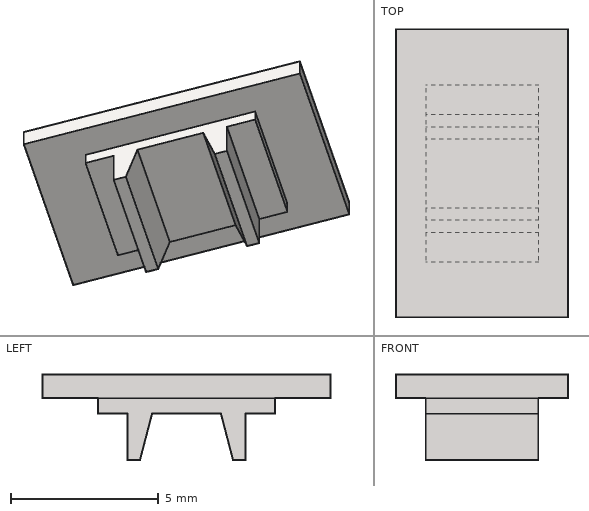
import cadquery as cq

plate_width = 5.85
plate_length = 9.8
plate_thickness = 0.8
total_height = 2.91

pad_width = 3.83
pad_length = 6.02
pad_thickness = 0.53
leg_span = 4.02
leg_root = 0.84
leg_tip = 0.43
pad_bottom = -plate_thickness - pad_thickness


def centred_block(width, length, top, thickness):
    """Block centred in X and Y, hanging down from the given height."""
    return (
        cq.Workplane("XY")
        .workplane(offset=top - thickness)
        .rect(width, length)
        .extrude(thickness)
    )


def leg(side):
    """Leg with an upright outer face and a sloped inner face; side is the sign of Y."""
    outer = leg_span / 2
    profile = [
        (side * outer, pad_bottom),
        (side * outer, -total_height),
        (side * (outer - leg_tip), -total_height),
        (side * (outer - leg_root), pad_bottom),
    ]
    return cq.Workplane("YZ").polyline(profile).close().extrude(pad_width / 2, both=True)


plate = centred_block(plate_width, plate_length, 0, plate_thickness)
pad = centred_block(pad_width, pad_length, -plate_thickness, pad_thickness)
result = plate.union(pad)
for side in (-1, 1):
    result = result.union(leg(side))